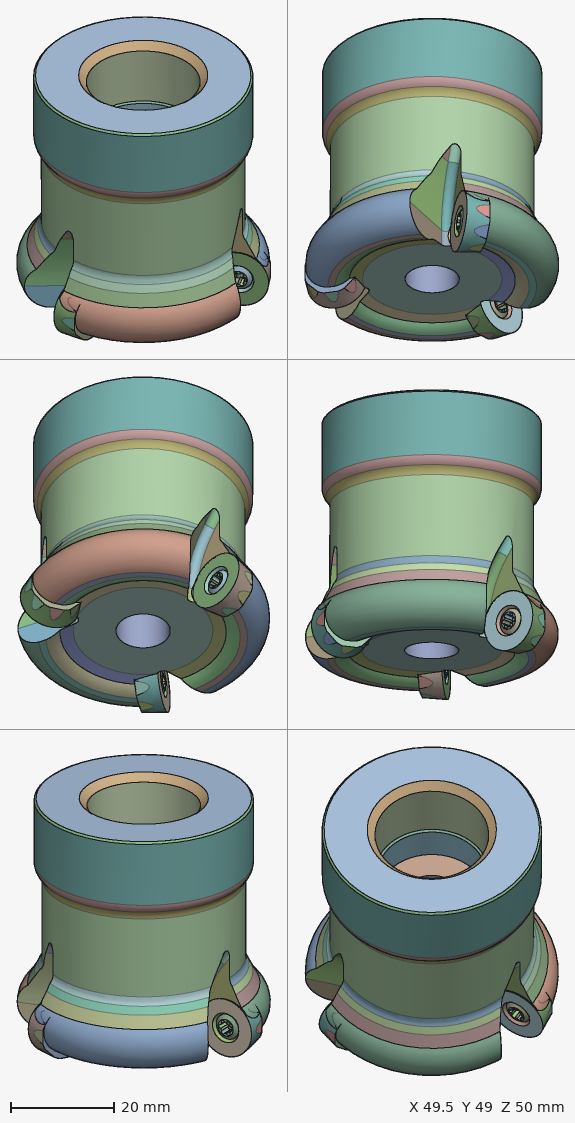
import cadquery as cq
import math

TOP_Z = 50.0
FLANGE_R = 21.25
FLANGE_EDGE_CHAMFER = 0.4
FLANGE_BOTTOM_Z = 36.7
NECK_R = 19.75
BLEND_R = 2.5
NECK_BOTTOM_Z = 16.65
FLARE_TOP_R = 20.4
FLARE_TOP_Z = 14.95
FLARE_BOTTOM_R = 21.15
FLARE_BOTTOM_Z = 13.4
RING_CENTER_R = 19.5
RING_CENTER_Z = 6.95
RING_R = 5.0
RING_TOP_Z = 10.95
RING_BOTTOM_Z = 2.0
UNDERSIDE_RIM_Z = 3.3
UNDERSIDE_Z = 3.7
UNDERSIDE_R = 13.5

BORE_R = 11.0
BORE_DEPTH = 13.0
BORE_MOUTH_CHAMFER = 1.5
INNER_BORE_R = 10.5
INNER_BORE_DEPTH = 20.0
BORE_STEP_CHAMFER = 0.25
THROUGH_HOLE_R = 5.25

INSERT_ANGLES = (60.0, 180.0, 300.0)
INSERT_R = 6.0
INSERT_TIP_R = 25.0
INSERT_CENTER_R = INSERT_TIP_R - INSERT_R
INSERT_CENTER_Z = INSERT_R
INSERT_THICKNESS = 4.85
INSERT_RELIEF_ANGLE = 7.0
FLAT_COUNT = 8
FLAT_TILT_ANGLE = 11.0
FLAT_BACK_DISTANCE = 5.2

GROOVE_MOUTH_R = 3.05
GROOVE_BOTTOM_R = 2.6
GROOVE_DEPTH = 0.65
HEAD_TOP_R = 1.75
SOCKET_DEPTH = 2.5
SOCKET_CORE_R = 1.2
LOBE_COUNT = 6
LOBE_R = 0.4
LOBE_CENTER_R = 1.2

POCKET_WALL_SETBACK = 0.25
POCKET_CORNER_R = 11.1
POCKET_FILLET_R = 1.25
POCKET_FLOOR_ARC_Z = 6.95
POCKET_FLOOR_ARC_R = 26.8
POCKET_FLOOR_TILT = 28.5
POCKET_TOP_Z = 27.5
POCKET_REACH = 30.0
SELECT_MARGIN = 0.05


def s_step_height():
    """Height of the S-shaped step made of two equal tangent arcs."""
    turn = math.acos(1 - (FLANGE_R - NECK_R) / (2 * BLEND_R))
    return 2 * BLEND_R * math.sin(turn)


def ring_half_width(z):
    """Distance from the ring's centre circle to its round surface at height z."""
    return math.sqrt(RING_R**2 - (z - RING_CENTER_Z) ** 2)


def make_revolved_body():
    step_height = s_step_height()
    step_middle = ((FLANGE_R + NECK_R) / 2, FLANGE_BOTTOM_Z - step_height / 2)
    ring_top_r = RING_CENTER_R + ring_half_width(RING_TOP_Z)
    flat_half_width = ring_half_width(RING_BOTTOM_Z)
    rim_r = RING_CENTER_R - ring_half_width(UNDERSIDE_RIM_Z)
    return (
        cq.Workplane("XZ")
        .moveTo(0, TOP_Z)
        .lineTo(FLANGE_R - FLANGE_EDGE_CHAMFER, TOP_Z)
        .lineTo(FLANGE_R, TOP_Z - FLANGE_EDGE_CHAMFER)
        .lineTo(FLANGE_R, FLANGE_BOTTOM_Z)
        .tangentArcPoint(step_middle, relative=False)
        .tangentArcPoint((NECK_R, FLANGE_BOTTOM_Z - step_height), relative=False)
        .lineTo(NECK_R, NECK_BOTTOM_Z)
        .tangentArcPoint((FLARE_TOP_R, FLARE_TOP_Z), relative=False)
        .lineTo(FLARE_BOTTOM_R, FLARE_BOTTOM_Z)
        .tangentArcPoint((ring_top_r, RING_TOP_Z), relative=False)
        .threePointArc(
            (RING_CENTER_R + RING_R, RING_CENTER_Z),
            (RING_CENTER_R + flat_half_width, RING_BOTTOM_Z),
        )
        .lineTo(RING_CENTER_R - flat_half_width, RING_BOTTOM_Z)
        .radiusArc((rim_r, UNDERSIDE_RIM_Z), RING_R)
        .lineTo(UNDERSIDE_R, UNDERSIDE_Z)
        .lineTo(0, UNDERSIDE_Z)
        .close()
        .revolve(360, (0, 0), (0, 1))
    )


def make_bore():
    return (
        cq.Workplane("XZ")
        .moveTo(0, TOP_Z)
        .lineTo(BORE_R + BORE_MOUTH_CHAMFER, TOP_Z)
        .lineTo(BORE_R, TOP_Z - BORE_MOUTH_CHAMFER)
        .lineTo(BORE_R, TOP_Z - BORE_DEPTH)
        .lineTo(INNER_BORE_R, TOP_Z - BORE_DEPTH - BORE_STEP_CHAMFER)
        .lineTo(INNER_BORE_R, TOP_Z - INNER_BORE_DEPTH)
        .lineTo(THROUGH_HOLE_R, TOP_Z - INNER_BORE_DEPTH)
        .lineTo(THROUGH_HOLE_R, 0)
        .lineTo(0, 0)
        .close()
        .revolve(360, (0, 0), (0, 1))
    )


def insert_face():
    """Workplane on the insert face at angle 0: out of the face is -Y, outward is +X."""
    return cq.Workplane("XZ", origin=(INSERT_CENTER_R, 0, INSERT_CENTER_Z))


def make_tapered_disc():
    return insert_face().circle(INSERT_R).extrude(-INSERT_THICKNESS, taper=INSERT_RELIEF_ANGLE)


def make_insert():
    """Tapered disc with side flats that deepen toward its back, and the screw head details."""
    front_distance = FLAT_BACK_DISTANCE + INSERT_THICKNESS * math.tan(math.radians(FLAT_TILT_ANGLE))
    flat_keeper = (
        insert_face()
        .polygon(FLAT_COUNT, 2 * front_distance, circumscribed=True)
        .extrude(-INSERT_THICKNESS, taper=FLAT_TILT_ANGLE)
    )
    return make_tapered_disc().intersect(flat_keeper).cut(make_screw_details())


def make_screw_details():
    groove = (
        cq.Workplane("XY", origin=(INSERT_CENTER_R, 0, INSERT_CENTER_Z))
        .moveTo(HEAD_TOP_R, 0)
        .lineTo(GROOVE_MOUTH_R, 0)
        .lineTo(GROOVE_BOTTOM_R, GROOVE_DEPTH)
        .close()
        .revolve(360, (0, 0), (0, 1))
    )
    core = insert_face().circle(SOCKET_CORE_R).extrude(-SOCKET_DEPTH)
    lobes = (
        insert_face()
        .polarArray(LOBE_CENTER_R, 0, 360, LOBE_COUNT)
        .circle(LOBE_R)
        .extrude(-SOCKET_DEPTH)
    )
    return core.union(lobes).union(groove)


def make_pocket():
    """Chip pocket in front of the insert face at angle 0; its floor runs out at 45 degrees."""
    corner = cq.Vector(POCKET_CORNER_R, POCKET_WALL_SETBACK, 0)
    across_floor = cq.Plane(origin=corner, xDir=(1, 1, 0), normal=(1, -1, 0))
    tilt = math.radians(POCKET_FLOOR_TILT)
    arc_end_z = POCKET_FLOOR_ARC_Z + POCKET_FLOOR_ARC_R * math.sin(tilt)
    arc_lean = POCKET_FLOOR_ARC_R * (1 - math.cos(tilt))
    top_lean = arc_lean + (POCKET_TOP_Z - arc_end_z) * math.tan(tilt)
    prism = (
        cq.Workplane(across_floor)
        .lineTo(0, POCKET_FLOOR_ARC_Z)
        .tangentArcPoint((arc_lean, arc_end_z), relative=False)
        .lineTo(top_lean, POCKET_TOP_Z)
        .lineTo(POCKET_REACH, POCKET_TOP_Z)
        .lineTo(POCKET_REACH, 0)
        .close()
        .extrude(POCKET_REACH, both=True)
    )
    front_of_wall = (
        cq.Workplane("XZ", origin=(0, POCKET_WALL_SETBACK, 0))
        .rect(4 * POCKET_REACH, 4 * POCKET_REACH)
        .extrude(2 * POCKET_REACH)
    )
    near_corner = cq.selectors.BoxSelector(
        (POCKET_CORNER_R - SELECT_MARGIN, POCKET_WALL_SETBACK - SELECT_MARGIN, SELECT_MARGIN),
        (NECK_R, POCKET_WALL_SETBACK + SELECT_MARGIN, POCKET_TOP_Z - SELECT_MARGIN),
    )
    return prism.intersect(front_of_wall).edges(near_corner).fillet(POCKET_FILLET_R)


def turned(shape, angle):
    return shape.rotate((0, 0, 0), (0, 0, 1), angle)


insert = make_insert()
insert_seat = make_tapered_disc().union(insert_face().circle(INSERT_R).extrude(POCKET_FILLET_R))
pocket = make_pocket()

body = make_revolved_body().cut(make_bore())
for angle in INSERT_ANGLES:
    body = body.cut(turned(pocket, angle)).cut(turned(insert_seat, angle))

inserts = [turned(insert, angle).val() for angle in INSERT_ANGLES]

result = cq.Compound.makeCompound([body.val(), *inserts])